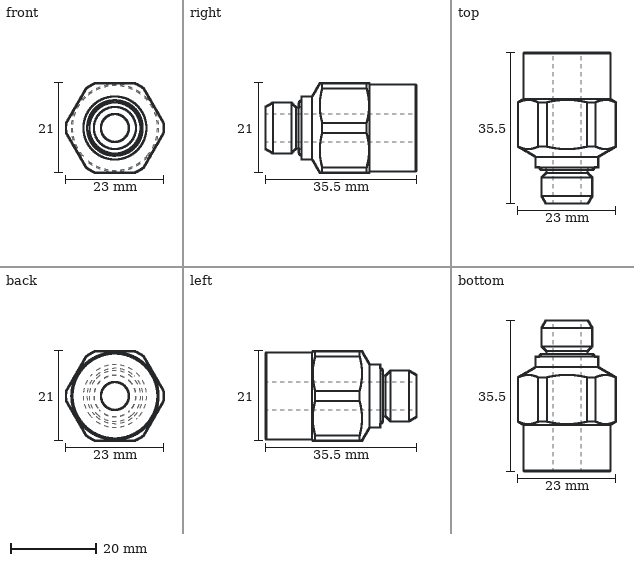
import cadquery as cq
import math

total_length = 35.5
bore_diameter = 6.5

spigot_diameter = 12.0
spigot_tip_diameter = 9.9
spigot_end = 6.1
tip_bevel_angle = 30.0
neck_diameter = 9.7

collar_diameter = 14.8
collar_start = 8.5
collar_end = 11.0

hex_sides = 6
hex_across_flats = 21.0
hex_corner_diameter = 23.0
hex_end = 24.5
hex_bevel_angle = 30.0

barrel_diameter = 20.5
barrel_chamfer = 0.3

ring_section_diameter = 1.7
ring_protrusion = 0.65

bore_radius = bore_diameter / 2
spigot_radius = spigot_diameter / 2
tip_radius = spigot_tip_diameter / 2
neck_radius = neck_diameter / 2
collar_radius = collar_diameter / 2
hex_corner_radius = hex_corner_diameter / 2
hex_sharp_diameter = hex_across_flats / math.cos(math.pi / hex_sides)
barrel_radius = barrel_diameter / 2
ring_section_radius = ring_section_diameter / 2

tip_bevel_length = (spigot_radius - tip_radius) / math.tan(math.radians(tip_bevel_angle))
neck_start = spigot_end + (spigot_radius - neck_radius)
hex_slope = math.tan(math.radians(hex_bevel_angle))
front_bevel_end = collar_end + (hex_corner_radius - collar_radius) * hex_slope
rear_bevel_start = hex_end - (hex_corner_radius - barrel_radius) * hex_slope


def revolve_about_y(profile):
    """Turn a closed (radius, Y) profile a full revolution about the Y axis."""
    return profile.revolve(360, (0, 0, 0), (0, 1, 0))


def make_spigot():
    """Bevelled spigot with its undercut neck, running up to the collar face."""
    return revolve_about_y(
        cq.Workplane("XY")
        .moveTo(0, 0)
        .lineTo(tip_radius, 0)
        .lineTo(spigot_radius, tip_bevel_length)
        .lineTo(spigot_radius, spigot_end)
        .lineTo(neck_radius, neck_start)
        .lineTo(neck_radius, collar_end)
        .lineTo(0, collar_end)
        .close()
    )


def make_collar():
    """Plain cylinder between the spigot neck and the hexagon."""
    return revolve_about_y(
        cq.Workplane("XY")
        .moveTo(0, collar_start)
        .lineTo(collar_radius, collar_start)
        .lineTo(collar_radius, collar_end)
        .lineTo(0, collar_end)
        .close()
    )


def make_sealing_ring():
    """Round-section ring seated on the neck and partly sunk in the collar face."""
    ring_centre_radius = neck_radius + ring_section_radius
    ring_centre_y = collar_start - ring_protrusion + ring_section_radius
    return revolve_about_y(
        cq.Workplane("XY")
        .pushPoints([(ring_centre_radius, ring_centre_y)])
        .circle(ring_section_radius)
    )


def make_hexagon():
    """Hexagon, flats facing +Z and -Z, with turned corners and bevelled ends."""
    turned_blank = revolve_about_y(
        cq.Workplane("XY")
        .moveTo(0, collar_end)
        .lineTo(collar_radius, collar_end)
        .lineTo(hex_corner_radius, front_bevel_end)
        .lineTo(hex_corner_radius, rear_bevel_start)
        .lineTo(barrel_radius, hex_end)
        .lineTo(0, hex_end)
        .close()
    )
    hexagonal_bar = (
        cq.Workplane("XZ")
        .polygon(hex_sides, hex_sharp_diameter)
        .extrude(-total_length)
    )
    return turned_blank.intersect(hexagonal_bar)


def make_barrel():
    """Rear cylinder with a small chamfer on its free edge."""
    return (
        cq.Workplane("XZ", origin=(0, hex_end, 0))
        .circle(barrel_radius)
        .extrude(-(total_length - hex_end))
        .faces(">Y")
        .chamfer(barrel_chamfer)
    )


def make_bore():
    """Round passage through the whole length."""
    return cq.Workplane("XZ").circle(bore_radius).extrude(-total_length)


body = make_spigot()
for section in (make_collar(), make_sealing_ring(), make_hexagon(), make_barrel()):
    body = body.union(section)

result = body.cut(make_bore())